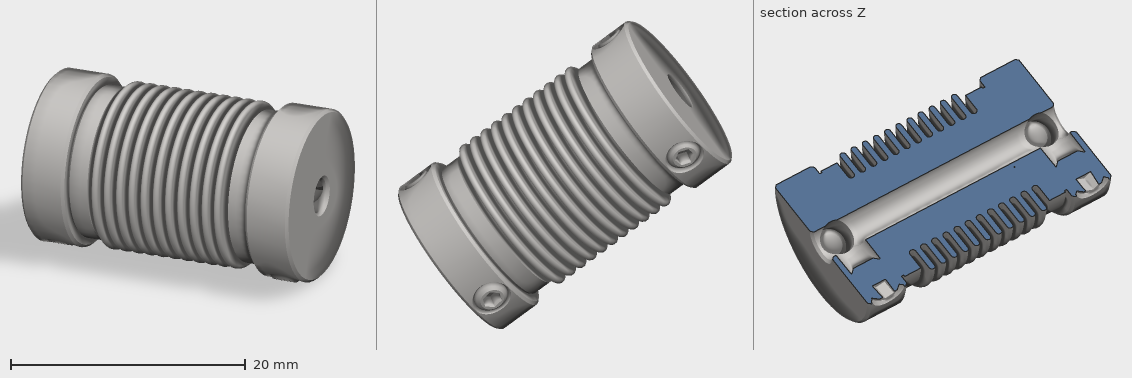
import cadquery as cq
import math


length = 24.75
hub_radius = 14.97 / 2
hub_width = 4.0
hub_chamfer = 0.25
neck_radius = 6.43
neck_end = 4.2
bore_radius = 1.5
bore_chamfer = 0.25

collar_radius = 6.6
crest_radius = 7.25
root_radius = 4.58
crest_count = 11
crest_span = 11.3

screw_radius = 1.48
screw_chamfer = 0.45
screw_length = 3.95
socket_flats = 1.5
socket_depth = 1.48
countersink_radius = 1.7
countersink_floor = 7.05
screw_angles = (4.0, 244.0)
flush_reach = 7.42
proud_reach = 7.6
left_hub_reaches = (flush_reach, flush_reach)
right_hub_reaches = (flush_reach, proud_reach)
left_socket_turn = 35.0
right_socket_turn = 10.0

pitch = crest_span / (crest_count - 1)
fold_radius = pitch / 4
bellows_start = (length - crest_count * pitch) / 2 - fold_radius
bellows_end = length - bellows_start


def hub(start):
    """Disc with both rims chamfered."""
    return (
        cq.Workplane("YZ", origin=(start, 0, 0))
        .circle(hub_radius)
        .extrude(hub_width)
        .edges()
        .chamfer(hub_chamfer)
    )


def cylinder(radius, start, end):
    """Round bar along X between two places on the axis."""
    return cq.Workplane("YZ", origin=(start, 0, 0)).circle(radius).extrude(end - start)


def bellows():
    """Folds with fully rounded crests and roots, starting and ending in a root."""
    crest_center = crest_radius - fold_radius
    root_center = root_radius + fold_radius
    outline = cq.Workplane("XY").moveTo(bellows_start, 0).lineTo(bellows_start, root_center)
    for fold in range(crest_count):
        x = bellows_start + fold * pitch
        outline = (
            outline.threePointArc((x + fold_radius, root_radius), (x + 2 * fold_radius, root_center))
            .lineTo(x + 2 * fold_radius, crest_center)
            .threePointArc((x + 3 * fold_radius, crest_radius), (x + pitch, crest_center))
            .lineTo(x + pitch, root_center)
        )
    outline = outline.threePointArc(
        (bellows_end - fold_radius, root_radius), (bellows_end, root_center)
    ).lineTo(bellows_end, 0)
    return outline.close().revolve(360, (0, 0, 0), (1, 0, 0))


def radial_plane(x, angle, distance):
    """Plane facing outward from the X axis, at a distance from that axis."""
    outward = (0, math.cos(math.radians(angle)), math.sin(math.radians(angle)))
    origin = (x, distance * outward[1], distance * outward[2])
    return cq.Workplane(cq.Plane(origin, xDir=(1, 0, 0), normal=outward))


def screw_hole(x, angle):
    """Radial hole from the X axis outward, widening near the hub surface."""
    hole = radial_plane(x, angle, 0).circle(screw_radius).extrude(hub_radius)
    countersink = (
        radial_plane(x, angle, countersink_floor)
        .circle(countersink_radius)
        .extrude(hub_radius - countersink_floor)
        .faces(cq.selectors.NearestToPointSelector((x, 0, 0)))
        .chamfer(countersink_radius - screw_radius)
    )
    return hole.union(countersink)


def set_screw(x, angle, reach, socket_turn):
    """Screw whose outer end lies at the given reach from the X axis."""
    screw = (
        radial_plane(x, angle, reach - screw_length)
        .circle(screw_radius)
        .extrude(screw_length)
        .edges("%CIRCLE")
        .chamfer(screw_chamfer)
    )
    across_corners = socket_flats / math.cos(math.radians(30))
    socket = (
        radial_plane(x, angle, reach)
        .transformed(rotate=(0, 0, socket_turn))
        .polygon(6, across_corners)
        .extrude(-socket_depth)
    )
    return screw.cut(socket)


def bore():
    """Shaft bore through the whole length, chamfered at both ends."""
    shaft = cylinder(bore_radius, 0, length)
    mouth = cq.Solid.makeCone(
        bore_radius + bore_chamfer, bore_radius, bore_chamfer, cq.Vector(0, 0, 0), cq.Vector(1, 0, 0)
    )
    far_mouth = mouth.mirror("YZ", cq.Vector(length / 2, 0, 0))
    return shaft.union(cq.Workplane(mouth)).union(cq.Workplane(far_mouth))


body = bellows()
body = body.union(hub(0))
body = body.union(hub(length - hub_width))
body = body.union(cylinder(neck_radius, hub_width, neck_end))
body = body.union(cylinder(neck_radius, length - neck_end, length - hub_width))
body = body.union(cylinder(collar_radius, neck_end, bellows_start))
body = body.union(cylinder(collar_radius, bellows_end, length - neck_end))
body = body.cut(bore())

hub_screws = (
    (hub_width / 2, left_hub_reaches, left_socket_turn),
    (length - hub_width / 2, right_hub_reaches, right_socket_turn),
)
for x, reaches, socket_turn in hub_screws:
    for angle in screw_angles:
        body = body.cut(screw_hole(x, angle))
    for angle, reach in zip(screw_angles, reaches):
        body = body.union(set_screw(x, angle, reach, socket_turn))

result = body